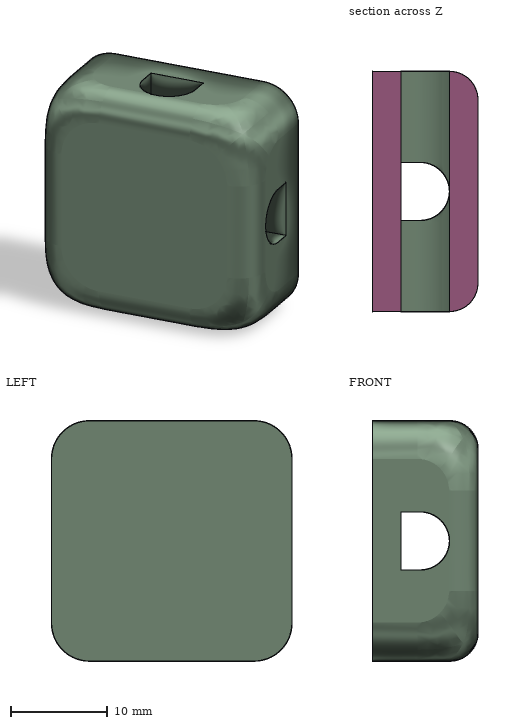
import cadquery as cq
import math

depth = 11.0
side = 25.0
half_side = side / 2

rear_radius = 4.0
front_radius = 3.0
side_arc = 3.3
setback_x = front_radius + side_arc
setback_side = rear_radius + side_arc
front_arc = setback_side - front_radius

blend_center = cq.Vector(depth - 1.55, half_side - 1.88, half_side - 1.88)
blend_normal = cq.Vector(1, 1, 1).normalized()

channel_width = 6.0
channel_rear = 3.0
channel_radius = channel_width / 2
channel_arc_start = 5.0

AXES = (cq.Vector(1, 0, 0), cq.Vector(0, 1, 0), cq.Vector(0, 0, 1))
SETBACKS = (setback_x, setback_side, setback_side)
FACE_ARCS = (front_arc, side_arc, side_arc)
EDGE_RADII = (rear_radius, front_radius, front_radius)
outer_corner = cq.Vector(depth, half_side, half_side)
inner_corner = outer_corner - cq.Vector(*SETBACKS)


def main_block():
    """Rounded block, before its four front corners are blended."""
    block = cq.Workplane("YZ").rect(side, side).extrude(depth).edges("|X").fillet(rear_radius)
    for plane, edges in (("XY", "|Z"), ("XZ", "|Y")):
        bar = cq.Workplane(plane).rect(2 * depth, side).extrude(half_side, both=True)
        block = block.intersect(bar.edges(edges).edges(">X").fillet(front_radius))
    return block


def arc_between(center, radius, first, second):
    """Quarter arc from direction first to direction second, as start, middle, end and both halves."""
    def point(angle):
        return center + first * (radius * math.cos(angle)) + second * (radius * math.sin(angle))

    start, lower, middle, upper, end = (point(i * math.pi / 8) for i in range(5))
    halves = (
        cq.Edge.makeThreePointArc(start, lower, middle),
        cq.Edge.makeThreePointArc(middle, upper, end),
    )
    return start, middle, end, halves


def spoke(start, direction):
    """Smooth curve from the middle of a boundary arc to the blend center."""
    arrival = direction - blend_normal * direction.dot(blend_normal)
    return cq.Edge.makeSpline([start, blend_center], tangents=[direction, arrival.normalized()])


def planar_face(edges):
    return cq.Face.makeFromWires(cq.Wire.assembleEdges(edges))


def corner_blend():
    """Solid block at the +Y +Z front corner, closed outside by six smooth patches."""
    faces = []
    face_halves = []
    edge_halves = []
    face_spokes = []
    edge_spokes = []
    for i in range(3):
        j, k = (i + 1) % 3, (i + 2) % 3
        along, first, second = AXES[i], AXES[j], AXES[k]

        center = inner_corner + along * SETBACKS[i]
        start, middle, end, halves = arc_between(center, FACE_ARCS[i], first, second)
        faces.append(planar_face([
            cq.Edge.makeLine(center, start), *halves, cq.Edge.makeLine(end, center),
        ]))
        face_halves.append(halves)
        face_spokes.append(spoke(middle, (first + second).normalized()))

        radius = EDGE_RADII[i]
        center = inner_corner + first * (SETBACKS[j] - radius) + second * (SETBACKS[k] - radius)
        start, middle, end, halves = arc_between(center, radius, first, second)
        first_end = inner_corner + first * SETBACKS[j]
        second_end = inner_corner + second * SETBACKS[k]
        faces.append(planar_face([
            cq.Edge.makeLine(inner_corner, first_end), cq.Edge.makeLine(first_end, start),
            *halves, cq.Edge.makeLine(end, second_end), cq.Edge.makeLine(second_end, inner_corner),
        ]))
        edge_halves.append(halves)
        edge_spokes.append(spoke(middle, along))

    for i in range(3):
        j, k = (i + 1) % 3, (i + 2) % 3
        for neighbour, half in ((k, 0), (j, 1)):
            boundary = [
                face_halves[i][half], edge_halves[neighbour][half],
                edge_spokes[neighbour], face_spokes[i],
            ]
            faces.append(cq.Face.makeNSidedSurface(boundary, []))
    return cq.Solid.makeSolid(cq.Shell.makeShell(faces))


def blend_corners(body):
    """Replace the four front corners of the block by smooth blends."""
    corner_box = (
        cq.Workplane("XY").box(*SETBACKS, centered=False).translate(inner_corner)
    )
    blend = cq.Workplane(obj=corner_blend())
    for mirror_planes in ((), ("XZ",), ("XY",), ("XZ", "XY")):
        box, corner = corner_box, blend
        for plane in mirror_planes:
            box, corner = box.mirror(plane), corner.mirror(plane)
        body = body.cut(box).union(corner)
    return body


def channel(plane):
    """D-shaped channel running right through the block."""
    return (
        cq.Workplane(plane)
        .moveTo(channel_rear, -channel_radius)
        .lineTo(channel_arc_start, -channel_radius)
        .threePointArc((channel_arc_start + channel_radius, 0), (channel_arc_start, channel_radius))
        .lineTo(channel_rear, channel_radius)
        .close()
        .extrude(half_side, both=True)
    )


result = blend_corners(main_block()).cut(channel("XY")).cut(channel("XZ"))